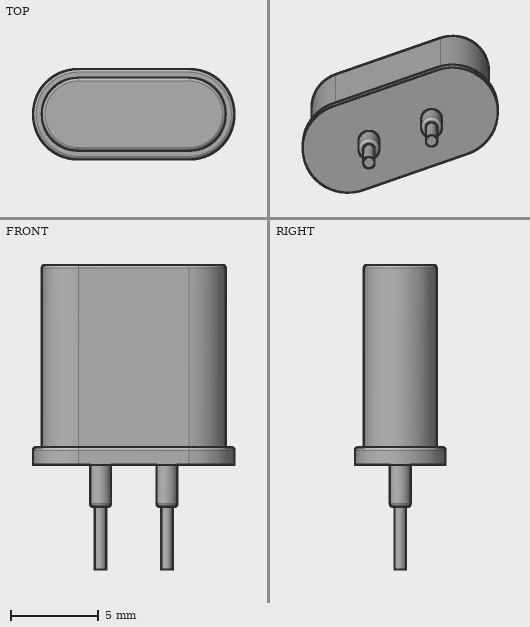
import cadquery as cq

total_height = 17.44
base_length = 11.55
base_width = 5.2

base_height = 1.01
flange_ledge = 0.5
edge_round = 0.2

lead_pitch = 3.8
lead_diameter = 0.66
lead_length = 6.0
sleeve_diameter = 1.2
sleeve_length = 2.4

can_length = base_length - 2 * flange_ledge
can_width = base_width - 2 * flange_ledge
can_height = total_height - lead_length - base_height


def rounded_block(length, width, height, bottom):
    """Upright block with full-round ends and a rounded top rim."""
    block = cq.Workplane("XY").workplane(offset=bottom).slot2D(length, width).extrude(height)
    return block.faces(">Z").edges().fillet(edge_round)


def make_base():
    return rounded_block(base_length, base_width, base_height, 0)


def make_can():
    return rounded_block(can_length, can_width, can_height, base_height)


def make_sleeve(x):
    """Sleeve below the base, rounded at its lower rim and bored for the lead."""
    sleeve = cq.Workplane("XY").center(x, 0).circle(sleeve_diameter / 2).extrude(-sleeve_length)
    sleeve = sleeve.faces("<Z").edges().fillet(edge_round)
    bore = make_lead(x)
    return sleeve.cut(bore)


def make_lead(x):
    """Straight round wire running from the base down through its sleeve."""
    return cq.Workplane("XY").center(x, 0).circle(lead_diameter / 2).extrude(-lead_length)


base = make_base()
can = make_can()

sleeves = []
leads = []
for x in (-lead_pitch / 2, lead_pitch / 2):
    sleeves.append(make_sleeve(x).val())
    leads.append(make_lead(x).val())

result = cq.Compound.makeCompound([base.val(), can.val(), *sleeves, *leads])